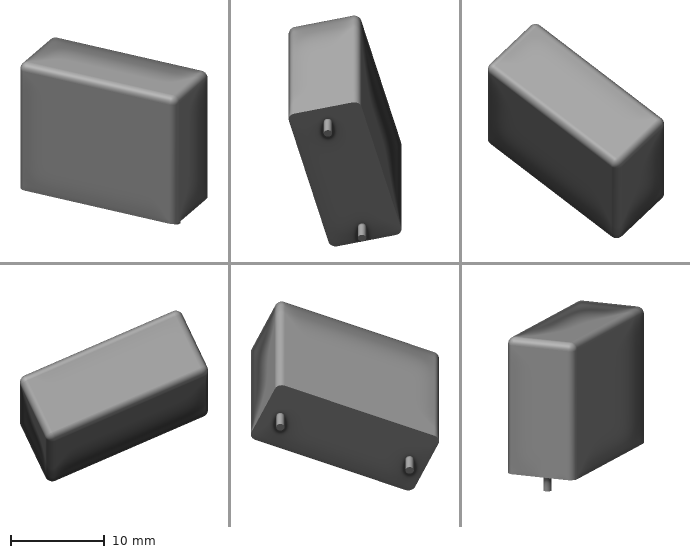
import cadquery as cq

body_length = 19.0
body_width = 8.0
body_height = 15.0
edge_radius = 0.8

pin_diameter = 0.9
pin_pitch = 15.0
pin_length = 1.9


def make_body():
    """Box with rounded upright and top edges and a sharp bottom rim."""
    box = cq.Workplane("XY").box(
        body_length, body_width, body_height, centered=(True, True, False)
    )
    return box.edges("|Z or >Z").fillet(edge_radius)


def make_pins():
    """Two round leads hanging below the body on its long centre line."""
    return (
        cq.Workplane("XY")
        .rarray(pin_pitch, 1, 2, 1)
        .circle(pin_diameter / 2)
        .extrude(-pin_length)
    )


result = make_body().union(make_pins())